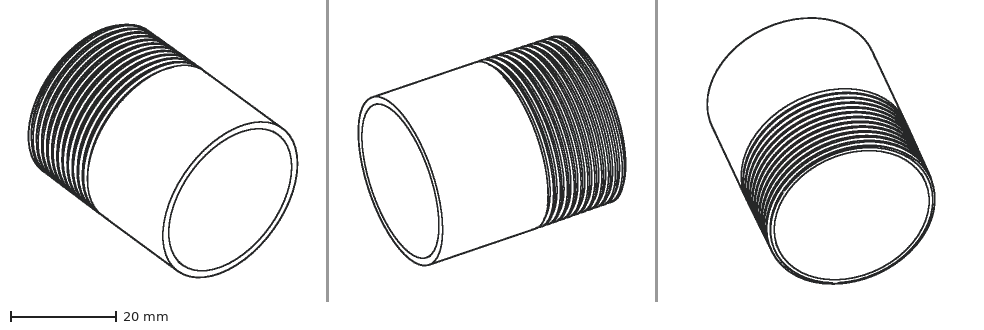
import cadquery as cq

length = 40.0
outer_radius = 16.85
bore_radius = 15.35

groove_turns = 13
groove_travel = 19.5
pitch = groove_travel / groove_turns
groove_end = 17.7
root_radius = 16.1
root_flat = 0.5
crest_flat = 0.35
taper_end = groove_end - pitch
end_crest_radius = 16.7
end_chamfer_length = 0.4
cut_clearance = 0.25


def pipe_blank():
    """Solid bar with a chamfered -X end and a slight taper under the thread."""
    profile = [
        (0, 0),
        (0, root_radius),
        (end_chamfer_length, end_crest_radius),
        (taper_end, outer_radius),
        (length, outer_radius),
        (length, 0),
    ]
    return cq.Workplane("XY").polyline(profile).close().revolve(360, (0, 0, 0), (1, 0, 0))


def groove_cutter():
    """Trapezoidal helix that starts beyond the -X end and stops at the -Z side."""
    top_radius = outer_radius + cut_clearance
    flank_slope = (pitch - root_flat - crest_flat) / 2 / (outer_radius - root_radius)
    half_root = root_flat / 2
    half_top = half_root + flank_slope * (top_radius - root_radius)
    path = cq.Wire.makeHelix(pitch, groove_travel, root_radius)
    section = [
        (root_radius, -half_root),
        (top_radius, -half_top),
        (top_radius, half_top),
        (root_radius, half_root),
    ]
    cutter = cq.Workplane("XZ").polyline(section).close().sweep(path, isFrenet=True)
    cutter = cutter.rotate((0, 0, 0), (0, 1, 0), 90)
    return cutter.translate((groove_end - groove_travel, 0, 0))


def bore():
    return cq.Workplane("YZ").circle(bore_radius).extrude(length)


result = pipe_blank().cut(groove_cutter()).cut(bore())